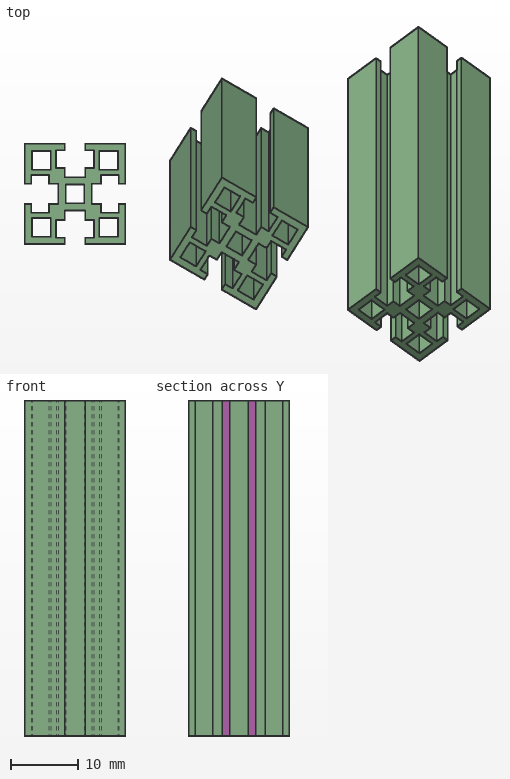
import cadquery as cq

side = 15.0
length = 50.0

slot_opening = 3.0
slot_depth = 5.0
lip_thickness = 1.0
cavity_width = 5.6
cavity_depth = 3.6

bore_size = 2.75
corner_bore_offset = 5.0


def slot_cutter():
    """T-slot that opens on the +Y side."""
    face = side / 2
    channel = cq.Workplane("XY").box(slot_opening, slot_depth, length, centered=(True, False, False))
    channel = channel.translate((0, face - slot_depth, 0))
    cavity_span = cavity_depth - lip_thickness
    cavity = cq.Workplane("XY").box(cavity_width, cavity_span, length, centered=(True, False, False))
    cavity = cavity.translate((0, face - cavity_depth, 0))
    return channel.union(cavity)


def cut_slots(body):
    """Cut the same T-slot into all four sides."""
    for angle in (0, 90, 180, 270):
        body = body.cut(slot_cutter().rotate((0, 0, 0), (0, 0, 1), angle))
    return body


def cut_bores(body):
    """Cut the square bores: one on the axis and one in each corner."""
    centres = [(0, 0)]
    for x_sign in (-1, 1):
        for y_sign in (-1, 1):
            centres.append((x_sign * corner_bore_offset, y_sign * corner_bore_offset))
    bores = cq.Workplane("XY").pushPoints(centres).rect(bore_size, bore_size).extrude(length)
    return body.cut(bores)


bar = cq.Workplane("XY").box(side, side, length, centered=(True, True, False))
result = cut_bores(cut_slots(bar))